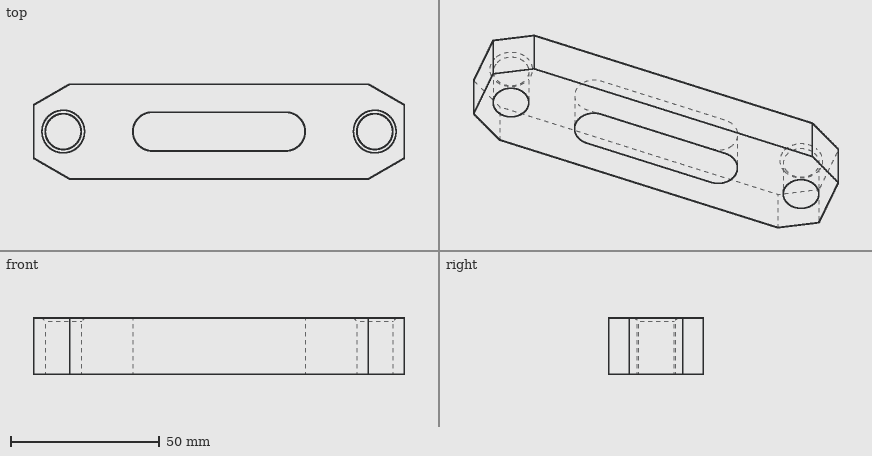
import cadquery as cq
import math

length = 125.0
width = 32.0
height = 19.0

end_flat = 18.0
corner_angle = 30.0
corner_width = (width - end_flat) / 2
corner_length = corner_width / math.tan(math.radians(corner_angle))

slot_length = 58.0
slot_width = 13.0

hole_spacing = 105.0
hole_diameter = 12.0
countersink_diameter = 14.4
countersink_angle = 90.0


def make_bar():
    """Bar with its four vertical corners cut off, resting on Z = 0."""
    half_length = length / 2
    half_width = width / 2
    shoulder = half_length - corner_length
    half_flat = end_flat / 2
    outline = [
        (-half_length, -half_flat),
        (-shoulder, -half_width),
        (shoulder, -half_width),
        (half_length, -half_flat),
        (half_length, half_flat),
        (shoulder, half_width),
        (-shoulder, half_width),
        (-half_length, half_flat),
    ]
    return cq.Workplane("XY").polyline(outline).close().extrude(height)


def cut_slot(body):
    """Round-ended slot through the middle of the bar."""
    return body.faces(">Z").workplane(origin=(0, 0, height)).slot2D(slot_length, slot_width).cutThruAll()


def cut_bolt_holes(body):
    """One countersunk through hole near each end."""
    centers = [(-hole_spacing / 2, 0), (hole_spacing / 2, 0)]
    top = body.faces(">Z").workplane(origin=(0, 0, height))
    return top.pushPoints(centers).cskHole(hole_diameter, countersink_diameter, countersink_angle)


result = cut_bolt_holes(cut_slot(make_bar()))